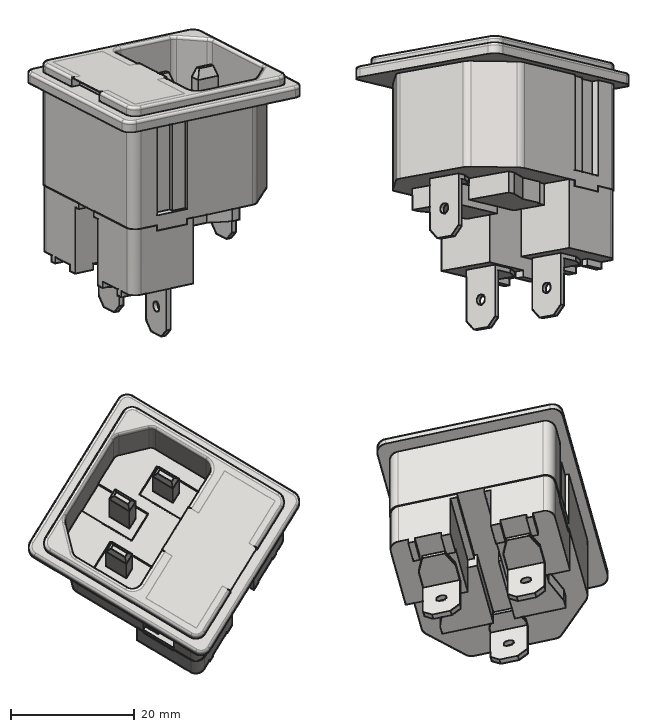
import cadquery as cq

EDGE_ROUND = 0.5
CORNER_RADIUS = 1.75

FLANGE_X, FLANGE_Y, FLANGE_TOP = 30.9, 34.1, 1.9
BEZEL_X, BEZEL_Y, BEZEL_TOP = 27.65, 30.25, 3.53

BODY_BOTTOM = -17.5
BODY_CHAMFER = 6.35
HALF_X, HALF_Y = BEZEL_X / 2, BEZEL_Y / 2

CAVITY_X = 24.55
CAVITY_FRONT, CAVITY_BACK, CAVITY_FLOOR = -2.12, 14.05, -13.6
CAVITY_CHAMFER = 4.38
CAVITY_BACK_RADIUS, CAVITY_FRONT_RADIUS = 1.35, 1.7

WELL_DEPTH = 0.85
LIVE_WELL_CENTER, LIVE_WELL_X, LIVE_WELL_BACK = 7.25, 5.4, 7.45
EARTH_WELL_X, EARTH_WELL_FRONT = 5.2, 4.6

PIN_X, PIN_Y = 1.9, 3.85
PIN_TAPER_X, PIN_TAPER_Y, PIN_TAPER_HEIGHT = 0.6, 0.6, 1.7
LIVE_PIN_Y, LIVE_PIN_TOP = 4.1, -0.35
EARTH_PIN_Y, EARTH_PIN_TOP = 7.9, 2.25

DRAWER_X, DRAWER_FRONT, DRAWER_BACK = 24.55, -13.55, -4.0
DRAWER_TAB_X, DRAWER_UNDERCUT = 8.3, 2.35

LATCH_BACK, LATCH_STEP, LATCH_FRONT = -4.45, -6.93, -10.25
LATCH_BOTTOM, LATCH_SKIRT_BOTTOM = -15.8, -18.45
LATCH_DEPTH, LATCH_DEEP = 0.65, 1.35

LEG_INSET = 0.13
LEG_INNER, LEG_BACK, LEG_BOTTOM = 3.35, -3.2, -28.9
LEDGE_INNER, LEDGE_BOTTOM = 2.25, -18.57
FOOT_BOTTOM, FOOT_BACK = -30.0, -11.48
FOOT_SPANS = ((LEG_INNER, 4.95), (9.3, 10.4))

HOUSING_BOTTOM, HOUSING_BACK = -21.05, 7.9
HOUSING_INNER, HOUSING_WIDE, HOUSING_NARROW, HOUSING_END = 1.8, 10.33, 8.75, 8.35
HOUSING_TAPER_BACK, HOUSING_TAPER_FRONT, HOUSING_STEP = 6.5, 2.6, -1.6

BLADE_X, BLADE_THICK, BLADE_DROP = 6.1, 0.85, 10.07
BLADE_CHAMFER = 1.55
BLADE_HOLE_DIAMETER, BLADE_HOLE_DROP = 1.7, 5.35
STRAP_THICK, STRAP_END_X, STRAP_TAPER = 0.75, 3.75, 2.5
LIVE_BLADE_X, LIVE_BLADE_BACK = 7.05, -5.23
EARTH_BLADE_BACK = 11.95


def block(x_span, y_span, z_span):
    """Box between two limits on each axis."""
    size = [high - low for low, high in (x_span, y_span, z_span)]
    corner = (x_span[0], y_span[0], z_span[0])
    return cq.Workplane("XY").box(*size, centered=False).translate(corner)


def both_sides(shape):
    """The shape together with its mirror image across the YZ plane."""
    return shape.union(shape.mirror("YZ"))


def rounded_plate(size_x, size_y, bottom, top):
    plate = cq.Workplane("XY").workplane(offset=bottom).rect(size_x, size_y).extrude(top - bottom)
    return plate.edges("|Z").fillet(CORNER_RADIUS)


def chamfered_prism(half_x, front, back, chamfer, bottom, top, back_radius, front_radius):
    """Upright prism with 45 degree back corners and rounded vertical edges."""
    right = [(half_x, front), (half_x, back - chamfer), (half_x - chamfer, back)]
    left = [(-x, y) for x, y in reversed(right)]
    prism = cq.Workplane("XY").workplane(offset=bottom).polyline(right + left).close().extrude(top - bottom)
    middle = (front + back) / 2
    back_half = cq.selectors.BoxSelector((-half_x - 0.42, middle, bottom + 0.42), (half_x + 0.42, back + 0.42, top - 0.42))
    front_half = cq.selectors.BoxSelector((-half_x - 0.42, front - 0.42, bottom + 0.42), (half_x + 0.42, middle, top - 0.42))
    prism = prism.edges(back_half).fillet(back_radius)
    return prism.edges(front_half).fillet(front_radius)


def make_cavity():
    return chamfered_prism(
        CAVITY_X / 2, CAVITY_FRONT, CAVITY_BACK, CAVITY_CHAMFER,
        CAVITY_FLOOR, BEZEL_TOP, CAVITY_BACK_RADIUS, CAVITY_FRONT_RADIUS,
    )


def make_wells():
    depth = (CAVITY_FLOOR - WELL_DEPTH, CAVITY_FLOOR)
    live_x = (LIVE_WELL_CENTER - LIVE_WELL_X / 2, LIVE_WELL_CENTER + LIVE_WELL_X / 2)
    live = block(live_x, (CAVITY_FRONT, LIVE_WELL_BACK), depth)
    earth = block((-EARTH_WELL_X / 2, EARTH_WELL_X / 2), (EARTH_WELL_FRONT, CAVITY_BACK), depth)
    return both_sides(live).union(earth)


def make_pin(x, y, top):
    """Flat pin standing on a well floor, with a tapered tip."""
    shoulder = top - PIN_TAPER_HEIGHT
    base = CAVITY_FLOOR - WELL_DEPTH
    shank = cq.Workplane("XY").workplane(offset=base).rect(PIN_X, PIN_Y).extrude(shoulder - base)
    tip = (
        cq.Workplane("XY").workplane(offset=shoulder).rect(PIN_X, PIN_Y)
        .workplane(offset=PIN_TAPER_HEIGHT).rect(PIN_X - 2 * PIN_TAPER_X, PIN_Y - 2 * PIN_TAPER_Y)
        .loft(ruled=True)
    )
    return shank.union(tip).translate((x, y, 0))


def make_drawer():
    """T-shaped drawer front whose finger edge slopes inward below the top."""
    height = (FLANGE_TOP, BEZEL_TOP)
    panel = block((-DRAWER_X / 2, DRAWER_X / 2), (DRAWER_FRONT, DRAWER_BACK), height)
    tab_profile = [
        (CAVITY_FRONT, FLANGE_TOP),
        (CAVITY_FRONT, BEZEL_TOP),
        (-HALF_Y, BEZEL_TOP),
        (DRAWER_UNDERCUT - HALF_Y, FLANGE_TOP),
    ]
    tab = cq.Workplane("YZ").polyline(tab_profile).close().extrude(DRAWER_TAB_X / 2, both=True)
    return panel.union(tab)


def make_latch_recesses():
    outer = HALF_X
    shallow = block((outer - LATCH_DEPTH, outer), (LATCH_FRONT, LATCH_BACK), (LATCH_BOTTOM, 0))
    deep = block((outer - LATCH_DEEP, outer), (LATCH_FRONT, LATCH_STEP), (LATCH_BOTTOM, 0))
    return both_sides(shallow.union(deep))


def make_legs():
    """Two fuse holder legs with ledges under the body, latch skirts and feet."""
    leg_x, leg_y = HALF_X - LEG_INSET, HALF_Y - LEG_INSET
    leg = block((LEG_INNER, leg_x), (-leg_y, LEG_BACK), (LEG_BOTTOM, BODY_BOTTOM))
    leg = leg.edges("|Z and >X and <Y").fillet(CORNER_RADIUS - LEG_INSET)
    leg = leg.union(block((LEDGE_INNER, LEG_INNER), (-leg_y, LEG_BACK), (LEDGE_BOTTOM, BODY_BOTTOM)))
    leg = leg.union(block((leg_x, HALF_X), (LATCH_FRONT, LATCH_BACK), (LATCH_SKIRT_BOTTOM, BODY_BOTTOM)))
    for foot_x in FOOT_SPANS:
        leg = leg.union(block(foot_x, (-leg_y, FOOT_BACK), (FOOT_BOTTOM, LEG_BOTTOM)))
    return both_sides(leg)


def make_housings():
    outline = [
        (HOUSING_INNER, HOUSING_BACK),
        (HOUSING_WIDE, HOUSING_BACK),
        (HOUSING_WIDE, HOUSING_TAPER_BACK),
        (HOUSING_NARROW, HOUSING_TAPER_FRONT),
        (HOUSING_NARROW, HOUSING_STEP),
        (HOUSING_END, HOUSING_STEP),
        (HOUSING_END, LEG_BACK),
        (HOUSING_INNER, LEG_BACK),
    ]
    base = cq.Workplane("XY").workplane(offset=HOUSING_BOTTOM)
    return both_sides(base.polyline(outline).close().extrude(BODY_BOTTOM - HOUSING_BOTTOM))


def make_terminal(x, back, front, top):
    """Bent terminal: a strap along the underside at `top`, tapering to the front, and a hanging blade."""
    half = BLADE_X / 2
    end = STRAP_END_X / 2
    taper_start = front + STRAP_TAPER
    strap_outline = [
        (-half, back), (-half, taper_start), (-end, front),
        (end, front), (half, taper_start), (half, back),
    ]
    strap = cq.Workplane("XY").polyline(strap_outline).close().extrude(-STRAP_THICK)
    blade = block((-half, half), (back - BLADE_THICK, back), (-BLADE_DROP, 0))
    blade = blade.edges("|Y and <Z").chamfer(BLADE_CHAMFER)
    hole = (
        cq.Workplane("XZ", origin=(0, back, -BLADE_HOLE_DROP))
        .circle(BLADE_HOLE_DIAMETER / 2).extrude(BLADE_THICK)
    )
    return strap.union(blade).cut(hole).translate((x, 0, top))


cavity = make_cavity()
drawer = make_drawer()

bezel = rounded_plate(BEZEL_X, BEZEL_Y, FLANGE_TOP, BEZEL_TOP).cut(cavity)
bezel = bezel.faces(">Z").edges().fillet(EDGE_ROUND)
drawer_opening = block(
    (-DRAWER_TAB_X / 2, DRAWER_TAB_X / 2), (-HALF_Y, CAVITY_FRONT), (FLANGE_TOP, BEZEL_TOP)
)
bezel = bezel.cut(drawer_opening).cut(drawer)

flange = rounded_plate(FLANGE_X, FLANGE_Y, 0, FLANGE_TOP)
flange = flange.faces(">Z").edges().fillet(EDGE_ROUND)

body = chamfered_prism(
    HALF_X, -HALF_Y, HALF_Y, BODY_CHAMFER, BODY_BOTTOM, 0, CORNER_RADIUS, CORNER_RADIUS
)
body = body.cut(make_latch_recesses())

shell = flange.union(body).cut(cavity).cut(make_wells())
shell = shell.union(make_legs()).union(make_housings())

for side in (-1, 1):
    shell = shell.union(make_pin(side * LIVE_WELL_CENTER, LIVE_PIN_Y, LIVE_PIN_TOP))
    shell = shell.union(make_terminal(side * LIVE_BLADE_X, LIVE_BLADE_BACK, FOOT_BACK, LEG_BOTTOM))
shell = shell.union(make_pin(0, EARTH_PIN_Y, EARTH_PIN_TOP))
shell = shell.union(make_terminal(0, EARTH_BLADE_BACK, HOUSING_BACK, BODY_BOTTOM))

result = shell.union(bezel).union(drawer, clean=False)